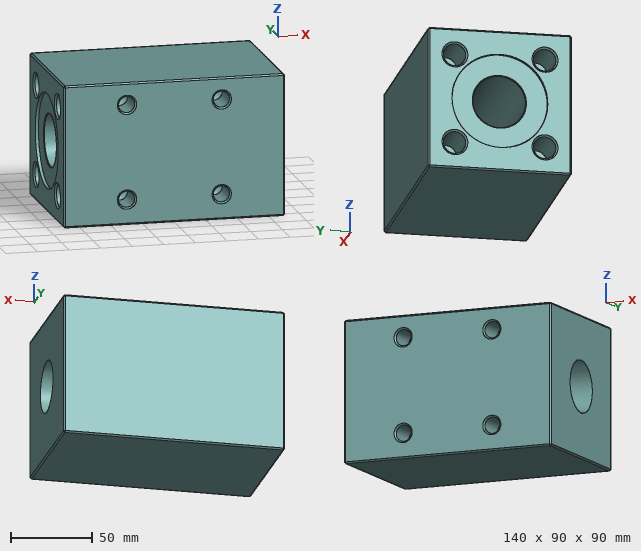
import cadquery as cq
import math

LENGTH = 140.0
WIDTH = 90.0
HEIGHT = 90.0
EDGE_CHAMFER = 1.0

BORE_DIAMETER = 33.0
BORE_CHAMFER = 0.5
RECESS_DIAMETER = 60.09
RECESS_DEPTH = 2.0

END_HOLE_COUNT = 4
END_HOLE_DIAMETER = 14.0
END_HOLE_MOUTH_DIAMETER = 16.2
END_HOLE_DEPTH = 30.0
BOLT_CIRCLE_DIAMETER = 80.0

SIDE_HOLE_DIAMETER = 10.2
SIDE_HOLE_MOUTH_DIAMETER = 12.2
SIDE_HOLE_DEPTH = 20.0
SIDE_HOLE_PITCH_X = 60.0
SIDE_HOLE_PITCH_Z = 60.0
SIDE_HOLE_OFFSET_Z = 1.0
DRILL_POINT_ANGLE = 118.0

X_DIRECTION = cq.Vector(1, 0, 0)
Y_DIRECTION = cq.Vector(0, 1, 0)
END_FACE_X = -LENGTH / 2
SIDE_FACE_Y = -WIDTH / 2


def hole_cutter(mouth, direction, diameter, mouth_diameter, depth):
    """Cylinder with a 45 degree countersink at its mouth."""
    radius = diameter / 2
    mouth_radius = mouth_diameter / 2
    shaft = cq.Solid.makeCylinder(radius, depth, mouth, direction)
    countersink = cq.Solid.makeCone(mouth_radius, radius, mouth_radius - radius, mouth, direction)
    return shaft.fuse(countersink)


def make_block():
    return cq.Workplane("XY").box(LENGTH, WIDTH, HEIGHT).edges().chamfer(EDGE_CHAMFER)


def cut_bore_and_recess(body):
    end_center = cq.Vector(END_FACE_X, 0, 0)
    recess = cq.Solid.makeCylinder(RECESS_DIAMETER / 2, RECESS_DEPTH, end_center, X_DIRECTION)
    bore = hole_cutter(
        end_center + X_DIRECTION * RECESS_DEPTH,
        X_DIRECTION,
        BORE_DIAMETER,
        BORE_DIAMETER + 2 * BORE_CHAMFER,
        LENGTH - RECESS_DEPTH,
    )
    return body.cut(recess).cut(bore)


def cut_end_holes(body):
    bolt_radius = BOLT_CIRCLE_DIAMETER / 2
    for index in range(END_HOLE_COUNT):
        angle = 2 * math.pi * (index + 0.5) / END_HOLE_COUNT
        mouth = cq.Vector(END_FACE_X, bolt_radius * math.cos(angle), bolt_radius * math.sin(angle))
        hole = hole_cutter(
            mouth, X_DIRECTION, END_HOLE_DIAMETER, END_HOLE_MOUTH_DIAMETER, END_HOLE_DEPTH
        )
        body = body.cut(hole)
    return body


def cut_side_holes(body):
    radius = SIDE_HOLE_DIAMETER / 2
    tip_length = radius / math.tan(math.radians(DRILL_POINT_ANGLE / 2))
    for x_side in (-1, 1):
        for z_side in (-1, 1):
            mouth = cq.Vector(
                x_side * SIDE_HOLE_PITCH_X / 2,
                SIDE_FACE_Y,
                SIDE_HOLE_OFFSET_Z + z_side * SIDE_HOLE_PITCH_Z / 2,
            )
            hole = hole_cutter(
                mouth, Y_DIRECTION, SIDE_HOLE_DIAMETER, SIDE_HOLE_MOUTH_DIAMETER, SIDE_HOLE_DEPTH
            )
            tip_start = mouth + Y_DIRECTION * SIDE_HOLE_DEPTH
            tip = cq.Solid.makeCone(radius, 0, tip_length, tip_start, Y_DIRECTION)
            body = body.cut(hole).cut(tip)
    return body


result = cut_side_holes(cut_end_holes(cut_bore_and_recess(make_block())))